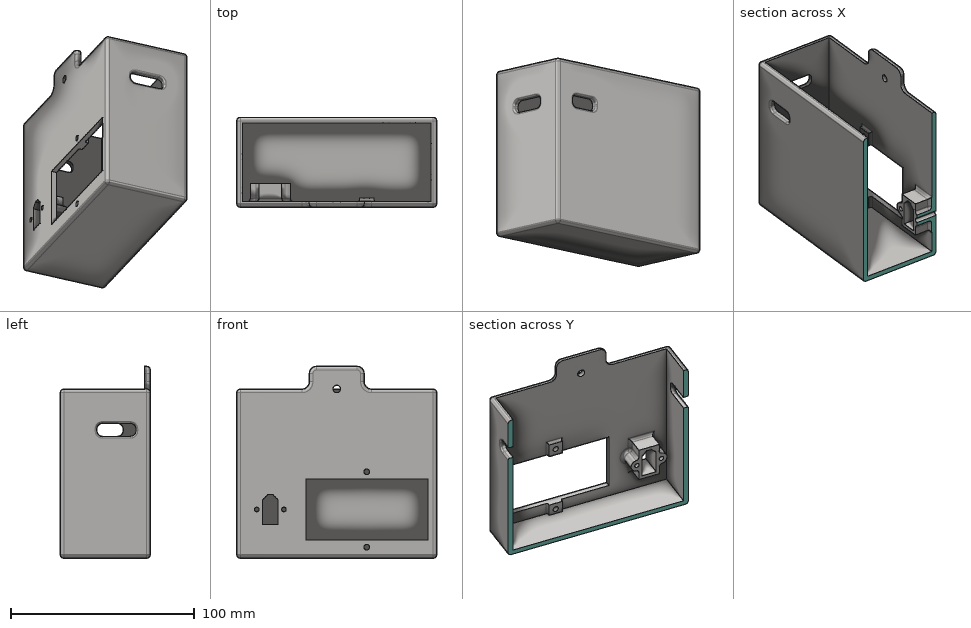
import cadquery as cq

length = 109.0
depth = 49.0
total_height = 104.6
tab_height = 12.4
box_height = total_height - tab_height
wall = 3.0
edge_round = 2.0

tab_width = 30.0
tab_corner_radius = 4.0
tab_hole_diameter = 4.0

window_center_x = 71.0
window_center_z = 26.6
window_width = 66.4
window_height = 33.1
pad_center_x = 70.8
pad_size = 8.0
pad_thickness = 2.0
pad_foot_round = 1.0
pad_hole_diameter = 3.0

socket_center_x = 18.3
socket_center_z = 26.6
cutout_width = 8.5
cutout_height = 16.1
cutout_clip = 2.8
socket_wall = 2.0
socket_depth = 10.0
socket_screw_spacing = 14.8
socket_screw_diameter = 2.5
socket_boss_diameter = 7.0
socket_round = 2.0
socket_foot_round = 1.9

slot_center_z = 70.0
slot_height = 7.0
slot_corner_radius = 3.0
slot_edge_round = 1.0
left_slot_length = 21.3
right_slot_length = 20.1
left_slot_center_y = 18.4
right_slot_center_y = 24.9
back_slot_length = 17.7
back_slot_center_x = 88.6

margin = 0.2

pad_offset = (window_height + pad_size) / 2
housing_width = cutout_width + 2 * socket_wall
housing_height = cutout_height + 2 * socket_wall


def box_around(center, size):
    """Selector for edges whose midpoints lie in a box of the given size around a point."""
    low = tuple(middle - extent / 2 for middle, extent in zip(center, size))
    high = tuple(middle + extent / 2 for middle, extent in zip(center, size))
    return cq.selectors.BoxSelector(low, high)


def prism(y, thickness, x, z, draw):
    """Extrude an outline centred at (x, z) from depth y towards the back."""
    plane = cq.Workplane("XZ", origin=(x, y, z))
    return draw(plane).extrude(-thickness)


def screw_hole(x, z, diameter):
    """Cutter for a round hole from the front face through everything behind it."""
    return prism(0, wall + socket_depth, x, z, lambda plane: plane.circle(diameter / 2))


def make_shell():
    box = cq.Workplane("XY").box(length, depth, box_height, centered=False)
    tab = prism(
        0, wall, length / 2, box_height,
        lambda plane: plane.rect(tab_width, 2 * tab_height),
    )
    body = box.union(tab)
    tab_region = box_around(
        (length / 2, wall / 2, box_height),
        (tab_width + margin, wall, 2 * tab_height + margin),
    )
    body = body.edges("|Y").edges(tab_region).fillet(tab_corner_radius)
    body = body.faces("<X or >X or <Y or >Y or <Z").edges().fillet(edge_round)
    cavity = cq.Workplane("XY", origin=(wall, wall, wall)).box(
        length - 2 * wall, depth - 2 * wall, total_height, centered=False
    )
    tab_hole = screw_hole(length / 2, box_height, tab_hole_diameter)
    return body.cut(cavity).cut(tab_hole)


def add_screw_pad(body, z):
    """Square pad on the inside of the front wall with a rounded foot."""
    pad = prism(
        wall / 2, wall / 2 + pad_thickness, pad_center_x, z,
        lambda plane: plane.rect(pad_size, pad_size),
    )
    foot = box_around((pad_center_x, wall, z), (pad_size + margin, margin, pad_size + margin))
    return body.union(pad).edges(foot).fillet(pad_foot_round)


def add_socket_housing(body):
    block = prism(
        wall / 2, wall / 2 + socket_depth, socket_center_x, socket_center_z,
        lambda plane: plane.rect(housing_width, housing_height),
    )
    bosses = prism(
        wall / 2, wall / 2 + socket_depth, socket_center_x, socket_center_z,
        lambda plane: plane.pushPoints(
            [(-socket_screw_spacing / 2, 0), (socket_screw_spacing / 2, 0)]
        ).circle(socket_boss_diameter / 2),
    )
    valleys = box_around(
        (socket_center_x, depth / 2, socket_center_z),
        (housing_width + margin, depth, housing_height - margin),
    )
    housing = block.union(bosses).edges("|Y").edges(valleys).fillet(socket_round)
    foot = box_around(
        (socket_center_x, wall, socket_center_z),
        (2 * housing_width, margin, housing_height + margin),
    )
    return body.union(housing).edges(foot).fillet(socket_foot_round)


def cutout_outline(plane):
    """Upright rectangle with both top corners clipped."""
    half_width = cutout_width / 2
    half_height = cutout_height / 2
    return plane.polyline([
        (-half_width, -half_height),
        (half_width, -half_height),
        (half_width, half_height - cutout_clip),
        (half_width - cutout_clip, half_height),
        (cutout_clip - half_width, half_height),
        (-half_width, half_height - cutout_clip),
    ]).close()


def slot_cutter(slot_length):
    """Slot cutter along X for a wall whose outer face is at y = 0 with the inside towards +Y."""
    slot = prism(
        -wall, 3 * wall, 0, 0, lambda plane: plane.rect(slot_length, slot_height)
    ).edges("|Y").fillet(slot_corner_radius)
    blank = cq.Workplane("XY").box(
        2 * slot_length, wall, 2 * slot_height, centered=(True, False, True)
    )
    rim = box_around((0, 0, 0), (slot_length + margin, margin, slot_height + margin))
    wall_piece = blank.cut(slot).edges(rim).fillet(slot_edge_round)
    return blank.cut(wall_piece)


def cut_slots(body):
    left = slot_cutter(left_slot_length).rotate((0, 0, 0), (0, 0, 1), -90)
    right = slot_cutter(right_slot_length).rotate((0, 0, 0), (0, 0, 1), 90)
    back = slot_cutter(back_slot_length).rotate((0, 0, 0), (0, 0, 1), 180)
    body = body.cut(left.translate((0, left_slot_center_y, slot_center_z)))
    body = body.cut(right.translate((length, right_slot_center_y, slot_center_z)))
    return body.cut(back.translate((back_slot_center_x, depth, slot_center_z)))


def cut_window(body):
    window = prism(
        0, wall + pad_thickness, window_center_x, window_center_z,
        lambda plane: plane.rect(window_width, window_height),
    )
    return body.cut(window)


def cut_socket(body):
    cutout = prism(0, wall + socket_depth, socket_center_x, socket_center_z, cutout_outline)
    return body.cut(cutout)


def cut_screw_holes(body):
    for side in (-1, 1):
        pad_z = window_center_z + side * pad_offset
        socket_screw_x = socket_center_x + side * socket_screw_spacing / 2
        body = body.cut(screw_hole(pad_center_x, pad_z, pad_hole_diameter))
        body = body.cut(screw_hole(socket_screw_x, socket_center_z, socket_screw_diameter))
    return body


body = make_shell()
for side in (-1, 1):
    body = add_screw_pad(body, window_center_z + side * pad_offset)
body = add_socket_housing(body)
body = cut_window(body)
body = cut_socket(body)
body = cut_screw_holes(body)
result = cut_slots(body)